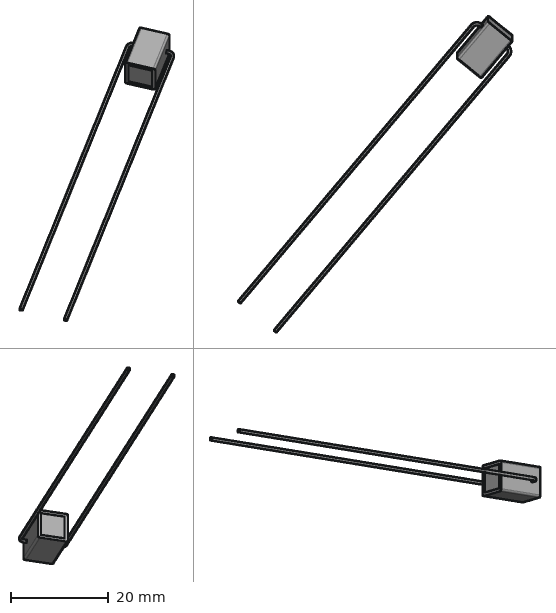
import cadquery as cq

total_length = 78.1
total_width = 10.2

body_side = 6.5
body_length = 10.0
edge_radius = 0.5
wall = 0.7
recess_depth = 0.1

wire_diameter = 0.7
bend_radius = 1.2
lead_setback = 2.0
lead_x = (total_width - wire_diameter) / 2
embed_depth = 0.8


def make_body():
    """Rounded square bar with a shallow recess in its front face."""
    body = (
        cq.Workplane("XY")
        .box(body_side, body_length, body_side)
        .translate((0, -body_length / 2, 0))
        .edges("|Y")
        .fillet(edge_radius)
    )
    opening = body_side - 2 * wall
    recess = (
        cq.Workplane("XY")
        .box(opening, recess_depth, opening)
        .translate((0, -body_length + recess_depth / 2, 0))
    )
    return body.cut(recess)


def make_lead():
    """Round wire leaving the +X side and bending toward -Y."""
    start_x = body_side / 2 - embed_depth
    bend_start_x = lead_x - bend_radius
    bend_end_y = -lead_setback - bend_radius
    path = (
        cq.Workplane("XY")
        .moveTo(start_x, -lead_setback)
        .lineTo(bend_start_x, -lead_setback)
        .tangentArcPoint((lead_x, bend_end_y), relative=False)
        .lineTo(lead_x, -total_length)
    )
    return (
        cq.Workplane("YZ", origin=(start_x, -lead_setback, 0))
        .circle(wire_diameter / 2)
        .sweep(path)
    )


lead = make_lead()
result = make_body().union(lead).union(lead.mirror("YZ"))